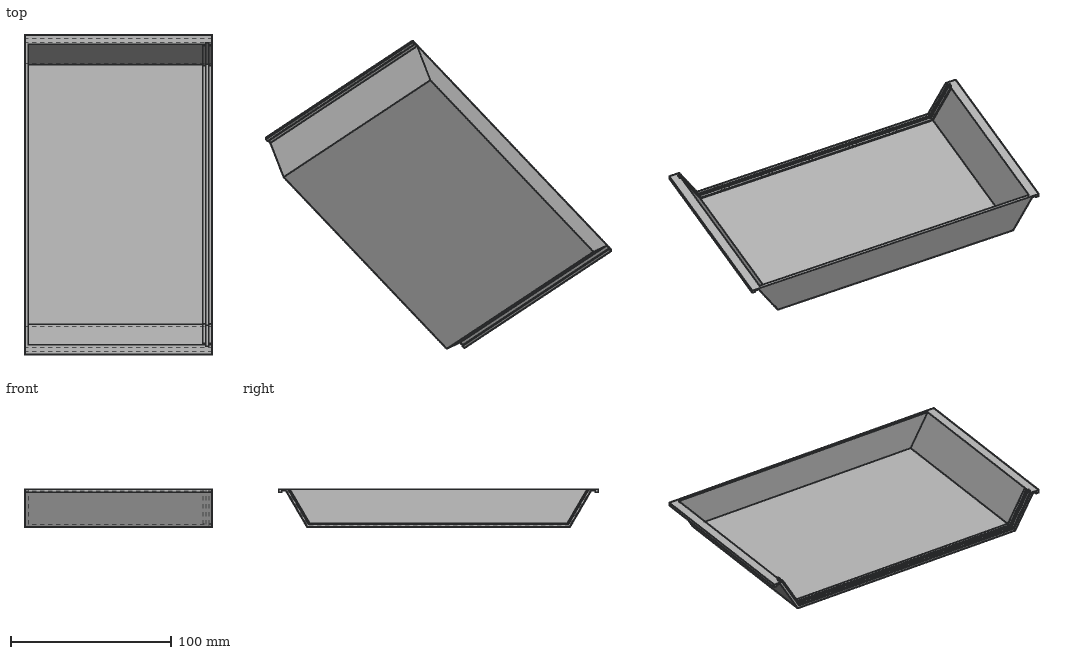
import cadquery as cq
import math

LENGTH = 199.5
WIDTH = 116.9
HEIGHT = 23.7
SHEET = 1.8
FLANGE_THICKNESS = 1.0
WALL_ANGLE = math.radians(59.7)
FLANGE_WIDTH = 6.0
END_WALL = 2.0

LIP_WIDTH = 2.0
LIP_HEIGHT = 2.0

RAIL_WIDTH = 2.0
RAIL_THICKNESS = 0.8
GROOVE_WIDTH = 2.0
GROOVE_DEPTH = 0.8

X_MIN = -WIDTH / 2
X_MAX = WIDTH / 2
TOP_HALF = LENGTH / 2 - FLANGE_WIDTH


def half_length(z, inset):
    """Half length of the trough at height z, offset inward by inset from the tray's inner surface."""
    return TOP_HALF - (HEIGHT - z) / math.tan(WALL_ANGLE) - inset / math.sin(WALL_ANGLE)


def extrude_along_x(points, x_start, x_length):
    """Extrude a closed YZ outline along +X."""
    return cq.Workplane("YZ", origin=(x_start, 0, 0)).polyline(points).close().extrude(x_length)


def trough(inset, x_start, x_length):
    """Trapezoidal block filling the trough above a surface offset by inset."""
    floor_z = SHEET + inset
    bottom = half_length(floor_z, inset)
    top = half_length(HEIGHT, inset)
    points = [(-bottom, floor_z), (bottom, floor_z), (top, HEIGHT), (-top, HEIGHT)]
    return extrude_along_x(points, x_start, x_length)


def make_tray():
    """Flanged tray, closed at -X and open at +X, with a groove near the open end."""
    tray = trough(-SHEET, X_MIN, WIDTH)
    flange = cq.Workplane("XY").box(WIDTH, LENGTH, FLANGE_THICKNESS).translate((0, 0, HEIGHT - FLANGE_THICKNESS / 2))
    tray = tray.union(flange)
    for side in (-1, 1):
        lip = cq.Workplane("XY").box(WIDTH, LIP_WIDTH, LIP_HEIGHT)
        lip_y = side * (LENGTH - LIP_WIDTH) / 2
        tray = tray.union(lip.translate((0, lip_y, HEIGHT - LIP_HEIGHT / 2)))
    tray = tray.cut(trough(0, X_MIN + END_WALL, WIDTH - END_WALL))
    groove_start = X_MAX - RAIL_WIDTH - GROOVE_WIDTH
    return tray.cut(trough(-GROOVE_DEPTH, groove_start, GROOVE_WIDTH))


def make_floor_rail(x_start):
    """Straight rail on the floor, mitred at both ends."""
    low_z = SHEET
    high_z = SHEET + RAIL_THICKNESS
    low = half_length(low_z, 0)
    high = half_length(high_z, RAIL_THICKNESS)
    points = [(-low, low_z), (low, low_z), (high, high_z), (-high, high_z)]
    return extrude_along_x(points, x_start, RAIL_WIDTH)


def make_wall_rail(x_start, side):
    """Sloping rail on one side wall (side is -1 or +1), mitred to the floor rail."""
    low_z = SHEET
    high_z = SHEET + RAIL_THICKNESS
    points = [
        (side * half_length(low_z, 0), low_z),
        (side * half_length(HEIGHT, 0), HEIGHT),
        (side * half_length(HEIGHT, RAIL_THICKNESS), HEIGHT),
        (side * half_length(high_z, RAIL_THICKNESS), high_z),
    ]
    return extrude_along_x(points, x_start, RAIL_WIDTH)


tray = make_tray()

floor_rails = []
wall_rails = []
for rail_x in (X_MAX - 2 * RAIL_WIDTH - GROOVE_WIDTH, X_MAX - RAIL_WIDTH):
    floor_rails.append(make_floor_rail(rail_x).val())
    for side in (-1, 1):
        wall_rails.append(make_wall_rail(rail_x, side).val())

result = cq.Compound.makeCompound([tray.val(), *floor_rails, *wall_rails])